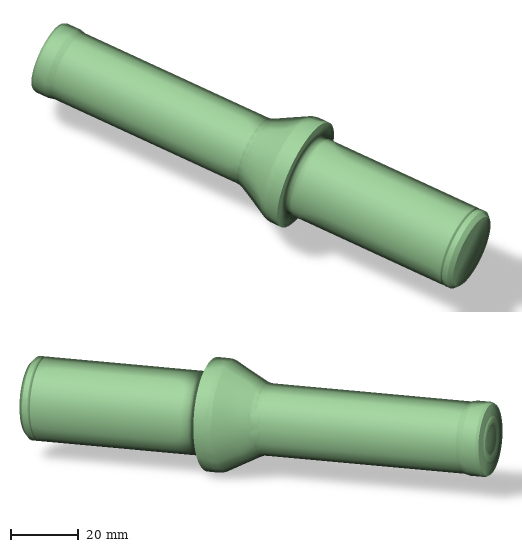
import cadquery as cq

total_length = 144.0
head_length = 7.5
flange_back = 87.5
cap_start = 140.7

head_diameter = 22.3
tube_diameter = 21.5
flange_diameter = 34.0
shank_diameter = 25.0
neck_diameter = 24.5

face_rim_setback = 0.6
head_chamfer_length = 0.9
head_chamfer_depth = 0.5
head_taper_length = 1.9

boss_base_diameter = 14.4
boss_top_diameter = 13.0
boss_height = 0.3
dimple_rim_diameter = 10.5
dimple_floor_diameter = 8.4
dimple_depth = 0.3

cone_start = 70.8
cone_end = 83.0
cone_root_fillet = 5.6
cone_tip_fillet = 3.7

neck_length = 1.5
neck_fillet = 0.6
neck_taper_length = 0.9

cap_chamfer = 1.3
seam_chamfer = 0.5


def revolve_about_x(points):
    """Revolve a closed (x, radius) outline about the X axis."""
    return cq.Workplane("XY").polyline(points).close().revolve(360, (0, 0), (1, 0))


def circle_edges_at(x, radius):
    """Select the circular edge of a given radius at a given X position."""
    margin = 0.07
    return cq.selectors.BoxSelector(
        (x - margin, -radius - margin, -radius - margin),
        (x + margin, radius + margin, radius + margin),
        boundingbox=True,
    )


def make_body():
    """Head, tube, conical flange and shank as one turned solid."""
    head_radius = head_diameter / 2
    tube_radius = tube_diameter / 2
    flange_radius = flange_diameter / 2
    shank_radius = shank_diameter / 2
    neck_radius = neck_diameter / 2
    neck_end = flange_back + neck_length
    body = revolve_about_x([
        (dimple_depth, 0),
        (dimple_depth, dimple_floor_diameter / 2),
        (0, dimple_rim_diameter / 2),
        (0, boss_top_diameter / 2),
        (boss_height, boss_base_diameter / 2),
        (face_rim_setback, head_radius - head_chamfer_depth),
        (face_rim_setback + head_chamfer_length, head_radius),
        (head_length - head_taper_length, head_radius),
        (head_length, tube_radius),
        (cone_start, tube_radius),
        (cone_end, flange_radius),
        (flange_back, flange_radius),
        (flange_back, neck_radius),
        (neck_end, neck_radius),
        (neck_end + neck_taper_length, shank_radius),
        (cap_start - seam_chamfer, shank_radius),
        (cap_start, shank_radius - seam_chamfer),
        (cap_start, 0),
    ])
    body = body.edges(circle_edges_at(cone_start, tube_radius)).fillet(cone_root_fillet)
    body = body.edges(circle_edges_at(cone_end, flange_radius)).fillet(cone_tip_fillet)
    body = body.edges(circle_edges_at(flange_back, neck_radius)).fillet(neck_fillet)
    return body


def make_end_cap():
    """Disc closing the +X end, chamfered on both rims."""
    radius = shank_diameter / 2
    return revolve_about_x([
        (cap_start, 0),
        (cap_start, radius - seam_chamfer),
        (cap_start + seam_chamfer, radius),
        (total_length - cap_chamfer, radius),
        (total_length, radius - cap_chamfer),
        (total_length, 0),
    ])


body = make_body()
end_cap = make_end_cap()
result = cq.Compound.makeCompound([body.val(), end_cap.val()])